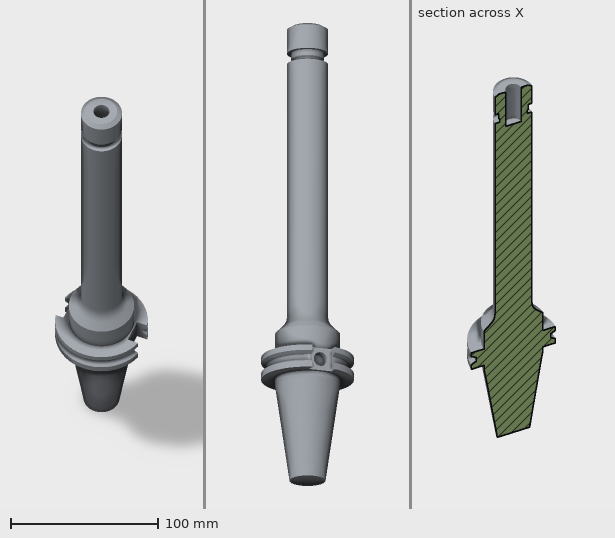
import cadquery as cq
import math

total_length = 322.2
taper_length = 68.3
gauge_radius = 22.2
taper_ratio = 7 / 24
taper_end_radius = gauge_radius - taper_length * taper_ratio / 2

flange_radius = 31.5
flange_bottom = taper_length + 3.2
flange_height = 15.8
flange_top = flange_bottom + flange_height
groove_floor_radius = 28.0
lower_rim_height = 4.5
upper_rim_height = 4.0
groove_flank_angle = math.radians(30)
groove_flank_height = (flange_radius - groove_floor_radius) * math.tan(groove_flank_angle)
groove_bottom = flange_bottom + lower_rim_height
groove_top = flange_top - upper_rim_height

slot_width = 16.0
shallow_slot_floor = 24.8
deep_slot_floor = 23.0
side_hole_diameter = 9.7
side_hole_depth = 6.5
side_hole_height = flange_bottom + flange_height / 2

shaft_radius = 14.02
shoulder_bottom = 103.8
blend_radius = 11.0
shoulder_angle = math.radians(45)
blend_end_radius = shaft_radius + blend_radius * (1 - math.cos(shoulder_angle))
blend_bottom = shoulder_bottom + (gauge_radius - blend_end_radius) * math.tan(shoulder_angle)
blend_top = blend_bottom + blend_radius * math.sin(shoulder_angle)
blend_mid_angle = shoulder_angle / 2
blend_mid_radius = shaft_radius + blend_radius * (1 - math.cos(blend_mid_angle))
blend_mid_height = blend_top - blend_radius * math.sin(blend_mid_angle)

nut_height = 18.7
nut_bottom = total_length - nut_height
nut_face_radius = 10.5
nut_chamfer_height = 2.0
upper_neck_radius = 11.3
upper_neck_length = 4.2
lower_neck_radius = 10.3
neck_length = 7.7
neck_cone_height = 1.0
neck_step = nut_bottom - upper_neck_length
shaft_top = nut_bottom - neck_length
bore_diameter = 11.0
bore_depth = 32.2


def turned_body():
    """Revolve the half section, drawn as (radius, height)."""
    profile = (
        cq.Workplane("XZ")
        .moveTo(0, 0)
        .lineTo(taper_end_radius, 0)
        .lineTo(gauge_radius, taper_length)
        .lineTo(gauge_radius, flange_bottom)
        .lineTo(flange_radius, flange_bottom)
        .lineTo(flange_radius, groove_bottom)
        .lineTo(groove_floor_radius, groove_bottom + groove_flank_height)
        .lineTo(groove_floor_radius, groove_top - groove_flank_height)
        .lineTo(flange_radius, groove_top)
        .lineTo(flange_radius, flange_top)
        .lineTo(gauge_radius, flange_top)
        .lineTo(gauge_radius, shoulder_bottom)
        .lineTo(blend_end_radius, blend_bottom)
        .threePointArc((blend_mid_radius, blend_mid_height), (shaft_radius, blend_top))
        .lineTo(shaft_radius, shaft_top)
        .lineTo(lower_neck_radius, shaft_top)
        .lineTo(lower_neck_radius, neck_step - neck_cone_height)
        .lineTo(upper_neck_radius, neck_step)
        .lineTo(upper_neck_radius, nut_bottom)
        .lineTo(shaft_radius, nut_bottom)
        .lineTo(shaft_radius, total_length - nut_chamfer_height)
        .lineTo(nut_face_radius, total_length)
        .lineTo(0, total_length)
        .close()
    )
    return profile.revolve(360, (0, 0, 0), (0, 1, 0))


def drive_slot(side, floor_distance):
    """Cutter through the flange height, on side -1 or +1 of the X axis."""
    cut_depth = flange_radius - floor_distance
    center_x = side * (floor_distance + cut_depth / 2)
    return (
        cq.Workplane("XY", origin=(center_x, 0, flange_bottom))
        .rect(cut_depth, slot_width)
        .extrude(flange_height)
    )


def side_hole():
    """Blind hole going along +X from the floor of the shallow slot."""
    return (
        cq.Workplane("YZ", origin=(-shallow_slot_floor, 0, side_hole_height))
        .circle(side_hole_diameter / 2)
        .extrude(side_hole_depth)
    )


def tool_bore():
    """Blind bore going down from the nut face."""
    return (
        cq.Workplane("XY", origin=(0, 0, total_length))
        .circle(bore_diameter / 2)
        .extrude(-bore_depth)
    )


result = (
    turned_body()
    .cut(drive_slot(-1, shallow_slot_floor))
    .cut(drive_slot(1, deep_slot_floor))
    .cut(side_hole())
    .cut(tool_bore())
)